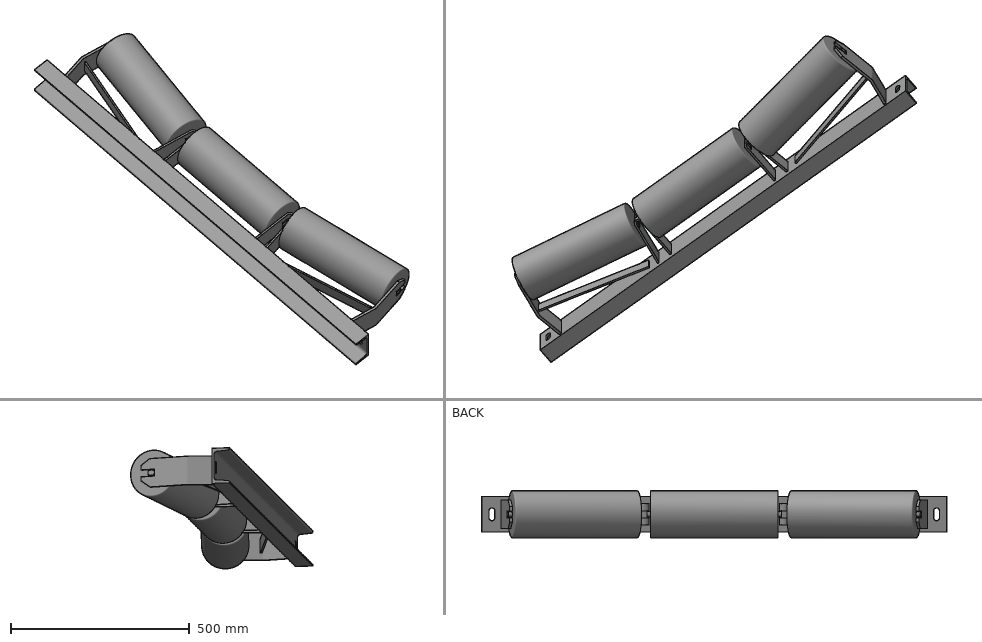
import cadquery as cq
import math


CHANNEL_LENGTH = 1300.0
CHANNEL_HEIGHT = 100.0
CHANNEL_DEPTH = 50.0
WEB_THICKNESS = 6.0
FLANGE_THICKNESS = 8.5
FLANGE_SLOPE = 0.08
ROOT_RADIUS = 8.5
TIP_RADIUS = 4.5
MOUNTING_SLOT_WIDTH = 15.0
MOUNTING_SLOT_HEIGHT = 35.0
MOUNTING_SLOT_INSET = 29.0

ROLLER_DIAMETER = 133.0
ROLLER_LENGTH = 358.0
ROLLER_EDGE_RADIUS = 3.2
SHAFT_DIAMETER = 20.0
SHAFT_FLAT_WIDTH = 14.0
MIDDLE_ROLLER_Y = 118.0
TROUGH_ANGLE = 10.0
SIDE_ROLLER_X = 390.0
SIDE_ROLLER_Y = 153.0

INNER_PLATE = 6.0
OUTER_PLATE = 8.0
OUTER_BRACKET_WIDTH = 80.0
INNER_BRACKET_WIDTH = 60.0
PLATE_CLEARANCE = 3.2
BEND_RADIUS = 6.0
SHAFT_SLOT_WIDTH = 20.0
OUTER_BEND_Y = 80.0
OUTER_TIP_Y = 216.0
TIP_CHAMFER_LENGTH = 26.0
TIP_CHAMFER_WIDTH = 18.0
CROWN_Y = 143.0

STRAP_THICKNESS = 5.0
STRAP_WIDTH = 40.0
STRAP_ANGLE = 14.4
STRAP_FOOT_X = 261.0

CUTTER_REACH = 1300.0

tan_trough = math.tan(math.radians(TROUGH_ANGLE))
cos_trough = math.cos(math.radians(TROUGH_ANGLE))
sin_trough = math.sin(math.radians(TROUGH_ANGLE))
plate_reach = ROLLER_LENGTH / 2 + PLATE_CLEARANCE
inner_shaft_reach = plate_reach + INNER_PLATE
outer_shaft_reach = plate_reach + OUTER_PLATE


def mirrored_pair(body):
    """The right-hand body and its mirror image on the left."""
    return [body, body.mirror("YZ")]


def slab(outline, width):
    """A prism along Z, centred on Z = 0, from a list of XY points."""
    return cq.Workplane("XY", origin=(0, 0, -width / 2)).polyline(outline).close().extrude(width)


def side_plate_x(axial, y):
    """X at height y of a plane square to the right roller axis, at an axial distance from its centre."""
    return SIDE_ROLLER_X + axial / cos_trough - (y - SIDE_ROLLER_Y) * tan_trough


def side_roller_place(body, axial):
    """Move a body from the origin to a point on the right roller axis, tilted with it."""
    placed = body.translate((axial, 0, 0)).rotate((0, 0, 0), (0, 0, 1), TROUGH_ANGLE)
    return placed.translate((SIDE_ROLLER_X, SIDE_ROLLER_Y, 0))


def make_channel():
    half_height = CHANNEL_HEIGHT / 2
    half_rise = FLANGE_SLOPE * CHANNEL_DEPTH / 2
    tip_z = half_height - FLANGE_THICKNESS + half_rise
    root_z = half_height - FLANGE_THICKNESS - half_rise + FLANGE_SLOPE * WEB_THICKNESS
    outline = [
        (0, -half_height),
        (-CHANNEL_DEPTH, -half_height),
        (-CHANNEL_DEPTH, -tip_z),
        (-WEB_THICKNESS, -root_z),
        (-WEB_THICKNESS, root_z),
        (-CHANNEL_DEPTH, tip_z),
        (-CHANNEL_DEPTH, half_height),
        (0, half_height),
    ]
    left_end = cq.Workplane("YZ", origin=(-CHANNEL_LENGTH / 2, 0, 0))
    channel = left_end.polyline(outline).close().extrude(CHANNEL_LENGTH)
    roots = [cq.selectors.NearestToPointSelector((0, -WEB_THICKNESS, side * root_z)) for side in (-1, 1)]
    tips = [cq.selectors.NearestToPointSelector((0, -CHANNEL_DEPTH, side * tip_z)) for side in (-1, 1)]
    for root in roots:
        channel = channel.edges(root).fillet(ROOT_RADIUS)
    for tip in tips:
        channel = channel.edges(tip).fillet(TIP_RADIUS)
    slot_x = CHANNEL_LENGTH / 2 - MOUNTING_SLOT_INSET
    slots = (
        cq.Workplane("XZ")
        .pushPoints([(-slot_x, 0), (slot_x, 0)])
        .slot2D(MOUNTING_SLOT_HEIGHT, MOUNTING_SLOT_WIDTH, angle=90)
        .extrude(CHANNEL_DEPTH)
    )
    return channel.cut(slots)


def make_roller(left_reach, right_reach):
    """A roller along X centred on the origin, its flatted shaft reaching the given distances."""
    shell = cq.Workplane("XY").cylinder(ROLLER_LENGTH, ROLLER_DIAMETER / 2).edges().fillet(ROLLER_EDGE_RADIUS)
    shaft = (
        cq.Workplane("XY", origin=(0, 0, -left_reach))
        .circle(SHAFT_DIAMETER / 2)
        .extrude(left_reach + right_reach)
    )
    flats = cq.Workplane("XY").box(CUTTER_REACH, SHAFT_FLAT_WIDTH, CUTTER_REACH)
    upright_roller = shell.union(shaft.intersect(flats))
    return upright_roller.rotate((0, 0, 0), (0, 1, 0), 90).rotate((0, 0, 0), (1, 0, 0), -90)


def make_middle_roller():
    return make_roller(inner_shaft_reach, inner_shaft_reach).translate((0, MIDDLE_ROLLER_Y, 0))


def make_side_roller():
    """The right-hand roller, its outer end raised along +Y."""
    return side_roller_place(make_roller(inner_shaft_reach, outer_shaft_reach), 0)


def shaft_slot(axial_length):
    """A cutter along X that is open toward +Y, its floor touching a shaft on the origin."""
    return (
        cq.Workplane("XY")
        .box(axial_length, CUTTER_REACH, SHAFT_SLOT_WIDTH)
        .translate((0, (CUTTER_REACH - SHAFT_DIAMETER) / 2, 0))
    )


def make_outer_bracket():
    """The right-hand bent plate: it leans out from the web, then back in, square to the roller axis."""
    inner_bend_x = side_plate_x(plate_reach, OUTER_BEND_Y)
    inner_foot_x = inner_bend_x - OUTER_BEND_Y * tan_trough
    run_x = OUTER_PLATE / cos_trough
    outer_tip_x = side_plate_x(outer_shaft_reach, OUTER_TIP_Y)
    outline = [
        (inner_foot_x, 0),
        (inner_foot_x + run_x, 0),
        (inner_bend_x + run_x, OUTER_BEND_Y),
        (outer_tip_x, OUTER_TIP_Y),
        (outer_tip_x - OUTER_PLATE * cos_trough, OUTER_TIP_Y - OUTER_PLATE * sin_trough),
        (inner_bend_x, OUTER_BEND_Y),
    ]
    plate = slab(outline, OUTER_BRACKET_WIDTH)
    inner_bend = cq.selectors.NearestToPointSelector((inner_bend_x, OUTER_BEND_Y, 0))
    outer_bend = cq.selectors.NearestToPointSelector((inner_bend_x + run_x, OUTER_BEND_Y, 0))
    plate = plate.edges(inner_bend).fillet(BEND_RADIUS)
    plate = plate.edges(outer_bend).fillet(BEND_RADIUS + OUTER_PLATE)

    cutter_length = 4 * OUTER_PLATE

    tip_height = (OUTER_TIP_Y - SIDE_ROLLER_Y - outer_shaft_reach * sin_trough) / cos_trough
    half_width = OUTER_BRACKET_WIDTH / 2
    for side in (-1, 1):
        corner = (
            cq.Workplane("YZ", origin=(-cutter_length / 2, 0, 0))
            .moveTo(tip_height, side * half_width)
            .lineTo(tip_height - TIP_CHAMFER_LENGTH, side * half_width)
            .lineTo(tip_height, side * (half_width - TIP_CHAMFER_WIDTH))
            .close()
            .extrude(cutter_length)
        )
        plate = plate.cut(side_roller_place(corner, outer_shaft_reach))
    return plate.cut(side_roller_place(shaft_slot(cutter_length), outer_shaft_reach))


def make_inner_bracket():
    """The right-hand bent U: one leg upright by the middle roller, one leg leaning by the side roller."""
    upright_x = plate_reach
    leaning_foot_x = side_plate_x(-plate_reach, 0)

    leg_gap_at_crown = side_plate_x(-plate_reach, CROWN_Y) - upright_x
    outer_radius = leg_gap_at_crown / (1 + 1 / cos_trough - tan_trough)
    inner_radius = outer_radius - INNER_PLATE
    crown_centre_x = upright_x + outer_radius
    crown_centre_y = CROWN_Y - outer_radius

    def leaning_point(radius):
        return (crown_centre_x + radius * cos_trough, crown_centre_y + radius * sin_trough)

    def crown_top(radius):
        return (crown_centre_x, crown_centre_y + radius)

    slot_length = 2 * outer_radius
    bracket = (
        cq.Workplane("XY", origin=(0, 0, -INNER_BRACKET_WIDTH / 2))
        .moveTo(upright_x, 0)
        .lineTo(upright_x, crown_centre_y)
        .threePointArc(crown_top(outer_radius), leaning_point(outer_radius))
        .lineTo(leaning_foot_x, 0)
        .lineTo(leaning_foot_x - INNER_PLATE / cos_trough, 0)
        .lineTo(*leaning_point(inner_radius))
        .threePointArc(crown_top(inner_radius), (upright_x + INNER_PLATE, crown_centre_y))
        .lineTo(upright_x + INNER_PLATE, 0)
        .close()
        .extrude(INNER_BRACKET_WIDTH)
    )
    upright_slot = shaft_slot(slot_length).translate((crown_centre_x - inner_radius, MIDDLE_ROLLER_Y, 0))
    leaning_slot = side_roller_place(shaft_slot(slot_length), -inner_shaft_reach + inner_radius)
    return bracket.cut(upright_slot).cut(leaning_slot)


def make_strap():
    """The right-hand sloping strap from the web up to the inner face of the outer bracket."""
    slope = math.tan(math.radians(STRAP_ANGLE))
    upper_offset = STRAP_THICKNESS / math.cos(math.radians(STRAP_ANGLE))

    def bracket_point(offset):
        """Where a strap face, raised by an offset, meets the inner face of the outer bracket."""
        base_x = side_plate_x(plate_reach, 0)
        y = (slope * (base_x - STRAP_FOOT_X) + offset) / (1 + slope * tan_trough)
        return (side_plate_x(plate_reach, y), y)

    foot_top = (
        STRAP_FOOT_X - STRAP_THICKNESS * math.sin(math.radians(STRAP_ANGLE)),
        STRAP_THICKNESS * math.cos(math.radians(STRAP_ANGLE)),
    )
    outline = [(STRAP_FOOT_X, 0), bracket_point(0), bracket_point(upper_offset), foot_top]
    return slab(outline, STRAP_WIDTH)


channel = make_channel()
middle_roller = make_middle_roller()
side_rollers = mirrored_pair(make_side_roller())
outer_brackets = mirrored_pair(make_outer_bracket())
inner_brackets = mirrored_pair(make_inner_bracket())
straps = mirrored_pair(make_strap())

paired_bodies = side_rollers + outer_brackets + inner_brackets + straps
result = cq.Compound.makeCompound(
    [channel.val(), middle_roller.val(), *[body.val() for body in paired_bodies]]
)